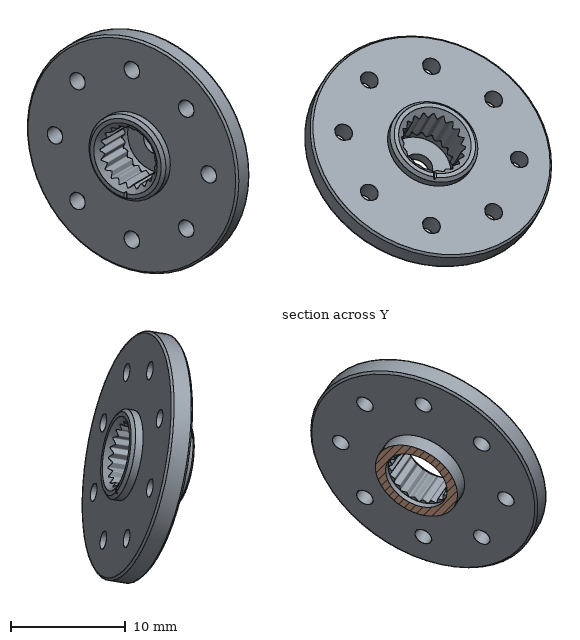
import cadquery as cq
import math

flange_diameter = 22.0
flange_thickness = 2.0
flange_chamfer = 0.2

hub_diameter = 8.0
front_hub_length = 1.0
front_hub_chamfer = 0.3
rear_hub_length = 2.85
rear_hub_chamfer = 0.2

bolt_hole_count = 8
bolt_hole_diameter = 1.6
bolt_circle_radius = 8.0

screw_hole_diameter = 2.6

spline_tooth_count = 20
spline_root_radius = 2.96
spline_tip_radius = 2.6
spline_rounding = 0.1
spline_length = 3.9

relief_radius = spline_root_radius
socket_floor_thickness = 1.0

lead_in_mouth_radius = 3.3
lead_in_depth = 0.8
lead_in_end_radius = 2.5

notch_width = 0.3
notch_depth = 0.15

hub_radius = hub_diameter / 2
front_face_y = -front_hub_length
rear_face_y = flange_thickness + rear_hub_length


def cylinder(radius, start_y, length):
    """Cylinder on the Y axis that runs from start_y toward +Y."""
    base = cq.Workplane("XZ", origin=(0, start_y, 0))
    return base.circle(radius).extrude(-length)


def make_flange():
    flange = cylinder(flange_diameter / 2, 0, flange_thickness)
    return flange.edges().chamfer(flange_chamfer)


def make_hub():
    hub = cylinder(hub_radius, front_face_y, rear_face_y - front_face_y)
    hub = hub.faces("<Y").edges().chamfer(front_hub_chamfer)
    return hub.faces(">Y").edges().chamfer(rear_hub_chamfer)


def polar_point(radius, angle):
    """Plane coordinates of a point at a radius and an angle in radians."""
    return (radius * math.cos(angle), radius * math.sin(angle))


def make_spline_socket():
    pitch = 2 * math.pi / spline_tooth_count
    outline = []
    for tooth in range(spline_tooth_count):
        root_angle = tooth * pitch
        outline.append(polar_point(spline_root_radius, root_angle))
        outline.append(polar_point(spline_tip_radius, root_angle + pitch / 2))
    base = cq.Workplane("XZ", origin=(0, front_face_y, 0))
    socket = base.polyline(outline).close().extrude(-spline_length)
    return socket.edges("|Y").fillet(spline_rounding)


def make_lead_in():
    end_y = front_face_y + lead_in_depth
    half_section = [
        (0, front_face_y),
        (lead_in_mouth_radius, front_face_y),
        (lead_in_end_radius, end_y),
        (0, end_y),
    ]
    return cq.Workplane("XY").polyline(half_section).close().revolve(360, (0, 0, 0), (0, 1, 0))


def make_bolt_holes():
    base = cq.Workplane("XZ")
    holes = base.polarArray(bolt_circle_radius, 0, 360, bolt_hole_count)
    return holes.circle(bolt_hole_diameter / 2).extrude(-flange_thickness)


def make_index_notch():
    section = [
        (-notch_width / 2, front_face_y),
        (notch_width / 2, front_face_y),
        (0, front_face_y + notch_depth),
    ]
    return cq.Workplane("XY").polyline(section).close().extrude(-hub_radius)


def make_relief_bore():
    start_y = front_face_y + spline_length
    floor_y = rear_face_y - socket_floor_thickness
    return cylinder(relief_radius, start_y, floor_y - start_y)


def make_screw_hole():
    return cylinder(screw_hole_diameter / 2, front_face_y, rear_face_y - front_face_y)


result = make_flange().union(make_hub())
result = result.cut(make_spline_socket())
result = result.cut(make_relief_bore())
result = result.cut(make_lead_in())
result = result.cut(make_screw_hole())
result = result.cut(make_bolt_holes())
result = result.cut(make_index_notch())